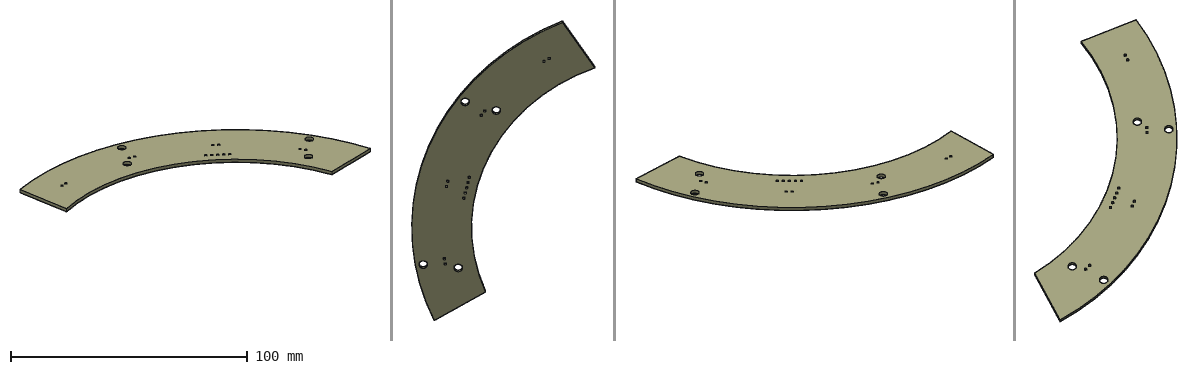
import cadquery as cq
import math

outer_radius = 107.2
inner_radius = 82.0
thickness = 1.6
length_x = 92.5
length_y = 121.5
arc_middle_angle = 45
right_edge_x = length_x - outer_radius
bottom_edge_y = math.sqrt(outer_radius**2 - right_edge_x**2) - length_y

pin_hole_diameter = 1.0
pin_pitch = 2.5
pair_radius = (outer_radius + inner_radius) / 2
pair_spacing_angle = 22.5
pair_count = 4
pins_per_pair = 2
header_radius = 86.2
header_angle = 2 * pair_spacing_angle
header_pin_count = 5

mounting_hole_diameter = 3.5
outer_mount_radius = 103.8
mounting_holes = [
    (outer_mount_radius, pair_spacing_angle),
    (outer_mount_radius, 3 * pair_spacing_angle),
    (90.8, 19.8),
    (89.6, 70.1),
]


def ring_point(radius, angle):
    """Point on the ring at an angle in degrees, measured clockwise from -X."""
    turn = math.radians(angle)
    return (-radius * math.cos(turn), radius * math.sin(turn))


def pin_row(radius, angle, count):
    """Centres of a straight row of pins, tangent to the ring at the given angle."""
    x, y = ring_point(radius, angle)
    turn = math.radians(angle)
    offsets = [(i - (count - 1) / 2) * pin_pitch for i in range(count)]
    return [(x + d * math.sin(turn), y + d * math.cos(turn)) for d in offsets]


def make_plate():
    """Ring arc cut off square at its right and bottom ends."""
    outer_right = (right_edge_x, math.sqrt(outer_radius**2 - right_edge_x**2))
    inner_right = (right_edge_x, math.sqrt(inner_radius**2 - right_edge_x**2))
    outer_bottom = (-math.sqrt(outer_radius**2 - bottom_edge_y**2), bottom_edge_y)
    inner_bottom = (-math.sqrt(inner_radius**2 - bottom_edge_y**2), bottom_edge_y)
    return (
        cq.Workplane("XY")
        .moveTo(*outer_bottom)
        .threePointArc(ring_point(outer_radius, arc_middle_angle), outer_right)
        .lineTo(*inner_right)
        .threePointArc(ring_point(inner_radius, arc_middle_angle), inner_bottom)
        .close()
        .extrude(thickness)
    )


def through_holes(centres, diameter):
    return cq.Workplane("XY").pushPoints(centres).circle(diameter / 2).extrude(thickness)


pin_centres = pin_row(header_radius, header_angle, header_pin_count)
for index in range(pair_count):
    pin_centres += pin_row(pair_radius, index * pair_spacing_angle, pins_per_pair)

mount_centres = [ring_point(radius, angle) for radius, angle in mounting_holes]

result = (
    make_plate()
    .cut(through_holes(pin_centres, pin_hole_diameter))
    .cut(through_holes(mount_centres, mounting_hole_diameter))
)